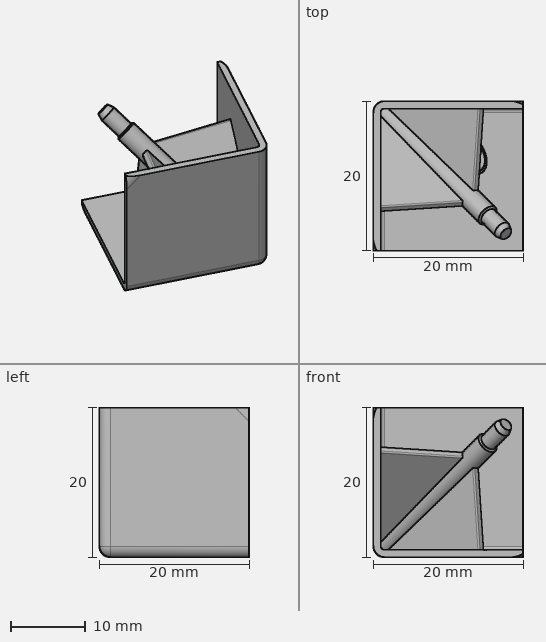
import cadquery as cq
import math


size = 20.0
wall = 1.0
outer_radius = 1.5
inner_radius = outer_radius - wall

tip_radius = 2.0
tip_reach = 1.3

pin_radius = 1.5
shoulder_at = 26.65
shoulder_drop = 0.2
nose_radius = 1.2
taper_at = 29.8
pin_end = 30.7
end_radius = 0.9

web_end_thickness = 1.0
web_foot = 20.52
web_lean = math.radians(5.2)
web_round = 0.2
web_draft = math.radians(1.0)

ring_radius = 2.5
ring_width = 0.2
ring_depth = 0.2
ring_x = 11.65
ring_y = -6.35

ORIGIN = (0, 0, 0)
PIN_AXIS = (1, -1, 1)
FLOOR_DIAGONAL = (1, -1, 0)
ACROSS_DIAGONAL = (-1, -1, 0)

diagonal_plane = cq.Plane(origin=ORIGIN, xDir=FLOOR_DIAGONAL, normal=ACROSS_DIAGONAL)


def three_around_pin(shape):
    """The shape and its two copies turned about the pin axis."""
    copies = shape
    for turn in (120, 240):
        copies = copies.union(shape.rotate(ORIGIN, PIN_AXIS, turn))
    return copies


def corner_block(offset, radius):
    """Cube with one corner at the given offset, the three edges at that corner rounded."""
    side = size - offset
    return (
        cq.Workplane("XY")
        .box(side, side, side, centered=False)
        .translate((offset, -size, offset))
        .edges("(|X and >Y and <Z) or (|Y and <X and <Z) or (|Z and <X and >Y)")
        .fillet(radius)
    )


def wall_tip_cutter():
    """Waste outside the rounding at the far corner of the floor."""
    corner = size * math.sqrt(2)
    start = corner - tip_reach
    sweep = math.asin(tip_reach / tip_radius)

    def on_round(angle):
        return (start + tip_radius * math.sin(angle), tip_radius * (1 - math.cos(angle)))

    return (
        cq.Workplane(diagonal_plane)
        .moveTo(start, 0)
        .threePointArc(on_round(sweep / 2), on_round(sweep))
        .lineTo(corner, 0)
        .close()
        .extrude(2 * tip_reach, both=True)
    )


def guide_pin():
    """Turned pin: thick shank, sloping shoulder, thinner nose with a tapered end."""
    profile_plane = cq.Plane(origin=ORIGIN, xDir=PIN_AXIS, normal=ACROSS_DIAGONAL)
    profile = [
        (0, 0),
        (0, pin_radius),
        (shoulder_at - shoulder_drop, pin_radius),
        (shoulder_at, nose_radius),
        (taper_at, nose_radius),
        (pin_end, end_radius),
        (pin_end, 0),
    ]
    return cq.Workplane(profile_plane).polyline(profile).close().revolve(360, (0, 0), (1, 0))


def web():
    """Web on the floor diagonal, thickening towards the corner, its leaning outer end rounded."""
    height = web_foot / (math.sqrt(2) + math.tan(web_lean))
    end_top = (height * math.sqrt(2), height)
    foot = diagonal_plane.toWorldCoords((web_foot, 0))
    end_direction = diagonal_plane.toWorldCoords(end_top) - foot

    section_plane = cq.Plane(origin=foot, xDir=ACROSS_DIAGONAL, normal=end_direction)
    half_end = web_end_thickness / 2
    half_corner = half_end + web_foot * math.tan(web_draft)
    section = [
        (-half_end, 0),
        (half_end, 0),
        (half_corner, -web_foot),
        (-half_corner, -web_foot),
    ]
    bar = (
        cq.Workplane(section_plane)
        .polyline(section)
        .close()
        .extrude(size, both=True)
        .faces(cq.selectors.NearestToPointSelector(foot.toTuple()))
        .edges(cq.selectors.ParallelDirSelector(end_direction))
        .fillet(web_round)
    )
    outline = (
        cq.Workplane(diagonal_plane)
        .polyline([(0, 0), (web_foot, 0), end_top])
        .close()
        .extrude(half_corner, both=True)
    )
    return bar.intersect(outline)


def ring_groove():
    """Shallow ring whose side walls run parallel to the pin."""
    slant_reach = 4 * ring_radius

    def slanted_disc(radius):
        plane = cq.Plane(origin=(ring_x, ring_y, wall), xDir=ACROSS_DIAGONAL, normal=PIN_AXIS)
        return cq.Workplane(plane).circle(radius).extrude(slant_reach, both=True)

    groove_layer = (
        cq.Workplane("XY")
        .box(size, size, ring_depth, centered=False)
        .translate((0, -size, wall - ring_depth))
    )
    ring = slanted_disc(ring_radius).cut(slanted_disc(ring_radius - ring_width))
    return ring.intersect(groove_layer)


block = corner_block(0, outer_radius)
walls = block.cut(corner_block(wall, inner_radius))
walls = walls.cut(three_around_pin(wall_tip_cutter())).cut(ring_groove())

pin_and_webs = guide_pin().union(three_around_pin(web())).intersect(block)

result = walls.union(pin_and_webs)